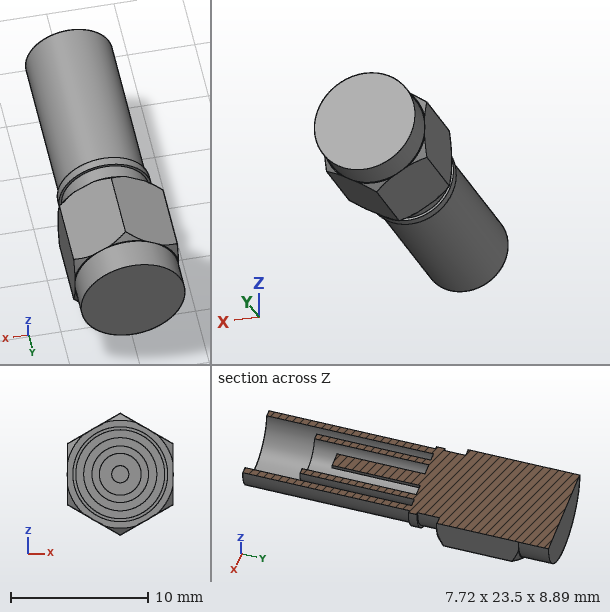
import cadquery as cq


tube_length = 12.70
ring_length = 0.66
neck_length = 1.63
hex_length = 6.24
sleeve_length = 2.29

tube_diameter = 6.48
ring_diameter = 6.91
neck_diameter = 6.53
hex_corner_diameter = 8.89
hex_corner_chamfer = 0.508
sleeve_diameter = 7.72

tube_bore_diameter = 5.33
post_diameter = 4.12
post_bore_diameter = 3.05
contact_diameter = 1.25
post_recess = 4.0
contact_recess = 6.0

total_length = tube_length + ring_length + neck_length + hex_length + sleeve_length
tube_start = -total_length / 2
ring_start = tube_start + tube_length
neck_start = ring_start + ring_length
hex_start = neck_start + neck_length
sleeve_start = hex_start + hex_length


def section_plane(station):
    """Plane across the axis at a Y station, with its normal along +Y."""
    plane = cq.Plane(origin=(0, station, 0), xDir=(0, 0, 1), normal=(0, 1, 0))
    return cq.Workplane(plane)


def cylinder(diameter, start, length):
    """Cylinder on the Y axis, running towards +Y from the start station."""
    return section_plane(start).circle(diameter / 2).extrude(length)


def hex_nut():
    """Hexagon with corners on Z, its corners turned to a cone at both ends."""
    prism = section_plane(hex_start).polygon(6, hex_corner_diameter).extrude(hex_length)
    turned_blank = cylinder(hex_corner_diameter, hex_start, hex_length)
    turned_blank = turned_blank.faces("<Y or >Y").chamfer(hex_corner_chamfer)
    return prism.intersect(turned_blank)


def outer_body():
    """Solid outside form: tube, ring, neck, hexagon and front sleeve."""
    return (
        hex_nut()
        .union(cylinder(tube_diameter, tube_start, tube_length))
        .union(cylinder(ring_diameter, ring_start, ring_length))
        .union(cylinder(neck_diameter, neck_start, neck_length))
        .union(cylinder(sleeve_diameter, sleeve_start, sleeve_length))
    )


def cable_entry(body):
    """Bore the tube down to the ring, leaving a hollow post around the contact."""
    post_length = tube_length - post_recess
    contact_length = tube_length - contact_recess
    post = cylinder(post_diameter, tube_start + post_recess, post_length)
    post_bore = cylinder(post_bore_diameter, tube_start + post_recess, post_length)
    contact = cylinder(contact_diameter, tube_start + contact_recess, contact_length)
    cavity = cylinder(tube_bore_diameter, tube_start, tube_length)
    cavity = cavity.cut(post).union(post_bore).cut(contact)
    return body.cut(cavity)


result = cable_entry(outer_body())